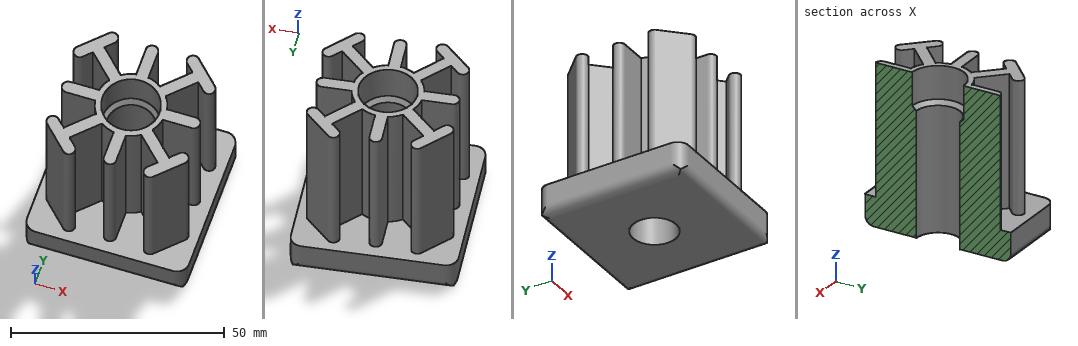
import cadquery as cq

base_width = 40.0
base_height = 8.0
corner_radius = 3.0
bottom_edge_radius = 2.5

total_height = 43.0
stem_height = total_height - base_height
hub_diameter = 17.0
rib_width = 3.0
straight_rib_reach = 17.02
crossbar_reach = 19.85
crossbar_length = 11.45

upper_bore_diameter = 14.0
lower_bore_diameter = 11.82
shoulder_depth = 8.73
shoulder_height = (upper_bore_diameter - lower_bore_diameter) / 2


def rounded_bottom_bar(plane, long_edges):
    """Square-ended bar along the plane's normal with its two long bottom edges rounded."""
    return (
        cq.Workplane(plane)
        .center(0, base_height / 2)
        .rect(base_width, base_height)
        .extrude(base_width / 2, both=True)
        .faces("<Z")
        .edges(long_edges)
        .fillet(bottom_edge_radius)
    )


def make_base():
    """Plate with rounded upright corners and bottom roundings that meet in mitres."""
    plate = (
        cq.Workplane("XY")
        .rect(base_width, base_width)
        .extrude(base_height)
        .edges("|Z")
        .fillet(corner_radius)
    )
    return plate.intersect(rounded_bottom_bar("XZ", "|Y")).intersect(rounded_bottom_bar("YZ", "|X"))


def stem_sketch():
    """Workplane on top of the base, where the stem starts."""
    return cq.Workplane("XY").workplane(offset=base_height)


def make_straight_rib():
    """Rib from the axis along +X, with a round tip."""
    return (
        stem_sketch()
        .center(straight_rib_reach / 2, 0)
        .slot2D(straight_rib_reach, rib_width)
        .extrude(stem_height)
    )


def make_t_rib():
    """Rib from the axis along +X, ending in a round-ended crossbar."""
    crossbar_center = crossbar_reach - rib_width / 2
    web = (
        stem_sketch()
        .center(crossbar_center / 2, 0)
        .rect(crossbar_center, rib_width)
        .extrude(stem_height)
    )
    crossbar = (
        stem_sketch()
        .center(crossbar_center, 0)
        .slot2D(crossbar_length, rib_width, 90)
        .extrude(stem_height)
    )
    return web.union(crossbar)


def make_bore():
    """Revolved cutter: wide bore from the top, conical shoulder, narrow bore through the base."""
    upper_radius = upper_bore_diameter / 2
    lower_radius = lower_bore_diameter / 2
    shoulder_top = total_height - shoulder_depth
    return (
        cq.Workplane("XZ")
        .moveTo(0, 0)
        .lineTo(lower_radius, 0)
        .lineTo(lower_radius, shoulder_top - shoulder_height)
        .lineTo(upper_radius, shoulder_top)
        .lineTo(upper_radius, total_height)
        .lineTo(0, total_height)
        .close()
        .revolve(360, (0, 0, 0), (0, 1, 0))
    )


hub = stem_sketch().circle(hub_diameter / 2).extrude(stem_height)
result = make_base().union(hub)

for quarter_turn in (0, 90, 180, 270):
    straight_rib = make_straight_rib().rotate((0, 0, 0), (0, 0, 1), quarter_turn)
    t_rib = make_t_rib().rotate((0, 0, 0), (0, 0, 1), quarter_turn + 45)
    result = result.union(straight_rib).union(t_rib)

result = result.cut(make_bore())